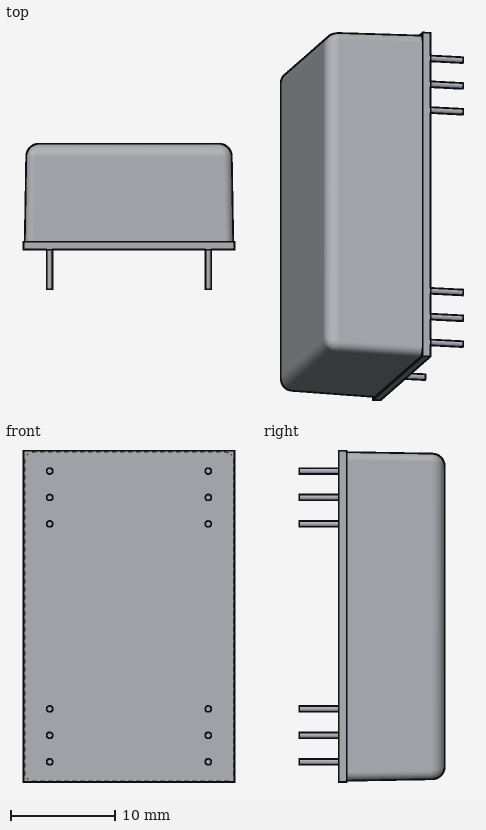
import cadquery as cq
import math

PLATE_WIDTH = 20.3
PLATE_HEIGHT = 31.84
PLATE_THICKNESS = 0.76

BODY_DEPTH = 10.2
CASE_INSET = 0.12
CASE_DRAFT_ANGLE = 1.0
CASE_TOP_RADIUS = 1.25
CASE_CORNER_RADIUS = 0.8

PIN_DIAMETER = 0.58
PIN_LENGTH = 3.8
PIN_PITCH = 2.54
PIN_COLUMN_SPACING = 6 * PIN_PITCH
OUTER_PIN_SPACING = 11 * PIN_PITCH
PINS_PER_GROUP = 3


def make_plate():
    return cq.Workplane("XY").box(
        PLATE_WIDTH, PLATE_THICKNESS, PLATE_HEIGHT, centered=(True, False, True)
    )


def make_case():
    """Drafted block with a rounded outer rim and rounded corner edges."""
    case_depth = BODY_DEPTH - PLATE_THICKNESS
    case = (
        cq.Workplane("XZ", origin=(0, PLATE_THICKNESS, 0))
        .rect(PLATE_WIDTH - 2 * CASE_INSET, PLATE_HEIGHT - 2 * CASE_INSET)
        .extrude(-case_depth, taper=CASE_DRAFT_ANGLE)
    )
    case = case.faces(">Y").edges().fillet(CASE_TOP_RADIUS)

    mid_depth = case_depth / 2
    mid_inset = CASE_INSET + mid_depth * math.tan(math.radians(CASE_DRAFT_ANGLE))
    corner_x = PLATE_WIDTH / 2 - mid_inset
    corner_z = PLATE_HEIGHT / 2 - mid_inset
    for x in (-corner_x, corner_x):
        for z in (-corner_z, corner_z):
            corner = cq.selectors.NearestToPointSelector((x, PLATE_THICKNESS + mid_depth, z))
            case = case.edges(corner).fillet(CASE_CORNER_RADIUS)
    return case


def make_pins():
    """Round pins, standing on the plate and pointing to -Y."""
    positions = []
    for x_side in (-1, 1):
        for z_side in (-1, 1):
            for index in range(PINS_PER_GROUP):
                x = x_side * PIN_COLUMN_SPACING / 2
                z = z_side * (OUTER_PIN_SPACING / 2 - index * PIN_PITCH)
                positions.append((x, z))
    return (
        cq.Workplane("XZ")
        .pushPoints(positions)
        .circle(PIN_DIAMETER / 2)
        .extrude(PIN_LENGTH)
    )


result = make_plate().union(make_case()).union(make_pins())